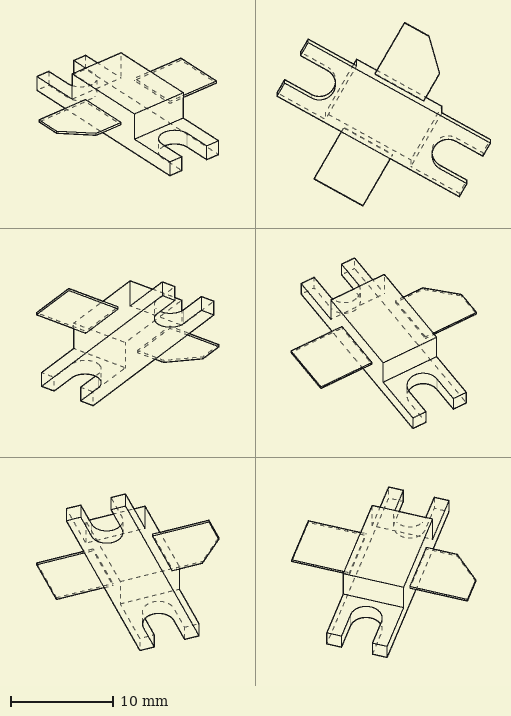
import cadquery as cq

flange_length = 20.5
flange_width = 6.2
flange_height = 1.6
slot_width = 3.15
slot_depth = 4.6

body_length = 9.6
body_width = flange_width
insulator_height = 0.7
total_height = 4.5
body_height = total_height - flange_height

lead_span = 18.0
lead_width = 5.5
lead_thickness = 0.25
lead_base_height = flange_height + insulator_height
lead_corner_cut = lead_width / 2


def make_block(length, width, height, base_height=0):
    """Box centred on the Z axis, standing on the plane at base_height."""
    return (
        cq.Workplane("XY")
        .workplane(offset=base_height)
        .box(length, width, height, centered=(True, True, False))
    )


def make_flange():
    slots = (
        cq.Workplane("XY")
        .pushPoints([(-flange_length / 2, 0), (flange_length / 2, 0)])
        .slot2D(2 * slot_depth, slot_width)
        .extrude(flange_height)
    )
    return make_block(flange_length, flange_width, flange_height).cut(slots)


def make_leads():
    strip = make_block(lead_width, lead_span, lead_thickness, lead_base_height)
    return strip.edges("|Z and >X and <Y").chamfer(lead_corner_cut)


body = make_block(body_length, body_width, body_height, flange_height)
result = make_flange().union(body).union(make_leads())